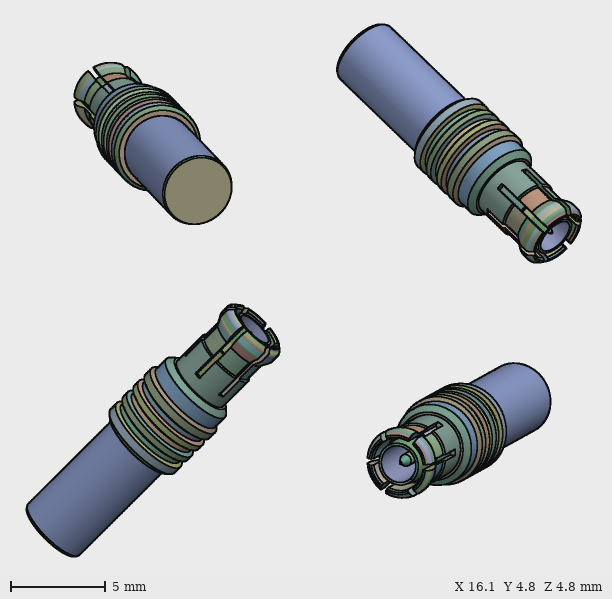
import cadquery as cq

FULL_TURN = 360
LENGTH = 16.07
TAIL_START = 9.18

FINGER_FACE_RADIUS = 1.62
FINGER_CHAMFER = 0.11
HEAD_RADIUS = 1.88
HEAD_START = 0.35
HEAD_END = 0.69
HEAD_CONE_START = 0.9
HEAD_CONE_RADIUS = 1.83
NECK_RADIUS = 1.62
NECK_START = 1.32
NECK_END = 2.38
BARREL_RADIUS = 1.72
BARREL_START = 2.46
SLOT_COUNT = 6
SLOT_WIDTH = 0.34
SLOT_END = 3.75

SHOULDER_START = 4.45
SHOULDER_FACE_RADIUS = 1.86
SHOULDER_RADIUS = 2.2
RIB_DIAMETER = 4.8
RIB_RADIUS = RIB_DIAMETER / 2
FIRST_RIB_START = 5.58
FIRST_RIB_FLANK = 0.2
GRIP_CHAMFER = 0.21
GROOVE_COUNT = 3
GROOVE_START = 6.24
GROOVE_PITCH = 0.87
GROOVE_TOP_WIDTH = 0.51
GROOVE_FLANK = 0.11
GROOVE_RADIUS = 2.15

GAP_MOUTH_RADIUS = 1.51
GAP_RADIUS = 1.43
GAP_MOUTH_DEPTH = 0.13
GAP_END = 1.95

SLEEVE_START = 0.16
SLEEVE_MOUTH_RADIUS = 1.14
SLEEVE_TAPER_END = 1.29
SLEEVE_RADIUS = 1.24
BORE_RADIUS = 1.0
BORE_END = SLOT_END

PIN_RADIUS = 0.32
PIN_TIP_RADIUS = 0.06
PIN_TIP = 0.45
PIN_CONE_LENGTH = 0.65

TAIL_RADIUS = 1.93
TAIL_FRONT_CHAMFER = (0.1, 0.05)
TAIL_REAR_CHAMFER = (0.13, 0.06)


def revolve_about_x(profile):
    """Turn a closed (x, radius) profile into a solid around the X axis."""
    return profile.close().revolve(FULL_TURN, (0, 0, 0), (1, 0, 0))


def ring(points):
    """Revolve a straight-sided (x, radius) outline around the X axis."""
    return revolve_about_x(cq.Workplane("XZ").polyline(points))


def connector_blank():
    """Solid outer shape: rounded finger head, neck, barrel, shoulder and plain grip."""
    chamfer_radius = FINGER_FACE_RADIUS + FINGER_CHAMFER
    nose_run = HEAD_START - FINGER_CHAMFER
    nose_rise = HEAD_RADIUS - chamfer_radius
    nose_radius = (nose_run**2 + nose_rise**2) / (2 * nose_rise)
    profile = (
        cq.Workplane("XZ")
        .lineTo(0, FINGER_FACE_RADIUS)
        .lineTo(FINGER_CHAMFER, chamfer_radius)
        .radiusArc((HEAD_START, HEAD_RADIUS), nose_radius)
        .lineTo(HEAD_END, HEAD_RADIUS)
        .tangentArcPoint((HEAD_CONE_START, HEAD_CONE_RADIUS), relative=False)
        .lineTo(NECK_START, NECK_RADIUS)
        .lineTo(NECK_END, NECK_RADIUS)
        .lineTo(BARREL_START, BARREL_RADIUS)
        .lineTo(SHOULDER_START, BARREL_RADIUS)
        .lineTo(SHOULDER_START, SHOULDER_FACE_RADIUS)
        .lineTo(SHOULDER_START + SHOULDER_RADIUS - SHOULDER_FACE_RADIUS, SHOULDER_RADIUS)
        .lineTo(FIRST_RIB_START, SHOULDER_RADIUS)
        .lineTo(FIRST_RIB_START + FIRST_RIB_FLANK, RIB_RADIUS)
        .lineTo(TAIL_START - GRIP_CHAMFER, RIB_RADIUS)
        .lineTo(TAIL_START, RIB_RADIUS - GRIP_CHAMFER)
        .lineTo(TAIL_START, 0)
    )
    return revolve_about_x(profile)


def grip_groove(start):
    """Cutter for one groove with sloping flanks between two ribs."""
    end = start + GROOVE_TOP_WIDTH
    return ring([
        (start, RIB_RADIUS),
        (start + GROOVE_FLANK, GROOVE_RADIUS),
        (end - GROOVE_FLANK, GROOVE_RADIUS),
        (end, RIB_RADIUS),
    ])


def mouth_cavity():
    """Cutter for the space ahead of the sleeve and the gap around it."""
    return ring([
        (0, 0),
        (0, GAP_MOUTH_RADIUS),
        (GAP_MOUTH_DEPTH, GAP_RADIUS),
        (GAP_END, GAP_RADIUS),
        (GAP_END, SLEEVE_RADIUS),
        (SLEEVE_TAPER_END, SLEEVE_RADIUS),
        (SLEEVE_START, SLEEVE_MOUTH_RADIUS),
        (SLEEVE_START, 0),
    ])


def sleeve_bore():
    """Cutter for the bore of the sleeve, leaving the pin standing."""
    return ring([
        (SLEEVE_START, 0),
        (SLEEVE_START, BORE_RADIUS),
        (BORE_END, BORE_RADIUS),
        (BORE_END, PIN_RADIUS),
        (PIN_TIP + PIN_CONE_LENGTH, PIN_RADIUS),
        (PIN_TIP, PIN_TIP_RADIUS),
        (PIN_TIP, 0),
    ])


def finger_slots():
    """Cutters for the radial slots that split the front end, as deep as the gap radius."""
    blade = cq.Workplane("XY").box(
        SLOT_END, SHOULDER_RADIUS, SLOT_WIDTH, centered=(False, False, True)
    )
    gap_core = cq.Workplane("YZ").circle(GAP_RADIUS).extrude(SLOT_END)
    blade = blade.cut(gap_core)
    return [
        blade.rotate((0, 0, 0), (1, 0, 0), index * FULL_TURN / SLOT_COUNT)
        for index in range(SLOT_COUNT)
    ]


def build_connector():
    """Slotted plug with its ribbed grip, inner sleeve and contact pin."""
    connector = connector_blank()
    for index in range(GROOVE_COUNT):
        connector = connector.cut(grip_groove(GROOVE_START + index * GROOVE_PITCH))
    connector = connector.cut(mouth_cavity()).cut(sleeve_bore())
    for slot in finger_slots():
        connector = connector.cut(slot)
    return connector


def build_tail():
    """Round tail, chamfered at both ends, butted against the rear face of the grip."""
    front_length, front_drop = TAIL_FRONT_CHAMFER
    rear_length, rear_drop = TAIL_REAR_CHAMFER
    return ring([
        (TAIL_START, 0),
        (TAIL_START, TAIL_RADIUS - front_drop),
        (TAIL_START + front_length, TAIL_RADIUS),
        (LENGTH - rear_length, TAIL_RADIUS),
        (LENGTH, TAIL_RADIUS - rear_drop),
        (LENGTH, 0),
    ])


connector = build_connector()
tail = build_tail()

result = cq.Compound.makeCompound([connector.val(), tail.val()])